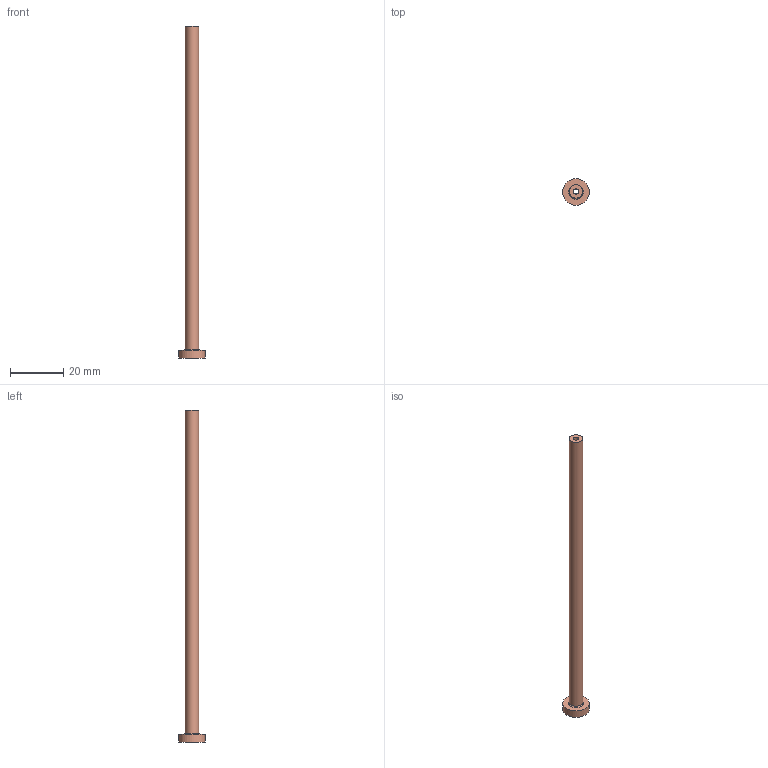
import cadquery as cq

total_length = 125.0
head_diameter = 10.0
head_height = 3.0
shaft_diameter = 5.0
bore_diameter = 2.0
neck_fillet = 0.3


def make_head():
    """Flat round head standing on the XY plane."""
    return cq.Workplane("XY").circle(head_diameter / 2).extrude(head_height)


def make_shaft():
    """Straight shaft running the full length, along the head's axis."""
    return cq.Workplane("XY").circle(shaft_diameter / 2).extrude(total_length)


def fillet_neck(body):
    """Round the inside corner where the shaft meets the head."""
    head_top = body.faces(cq.selectors.NearestToPointSelector((0, 0, head_height)))
    neck = head_top.edges(cq.selectors.RadiusNthSelector(0))
    return neck.fillet(neck_fillet)


def cut_bore(body):
    """Cut the central bore through the whole length."""
    bore = cq.Workplane("XY").circle(bore_diameter / 2).extrude(total_length)
    return body.cut(bore)


sleeve = make_head().union(make_shaft())
sleeve = fillet_neck(sleeve)
result = cut_bore(sleeve)